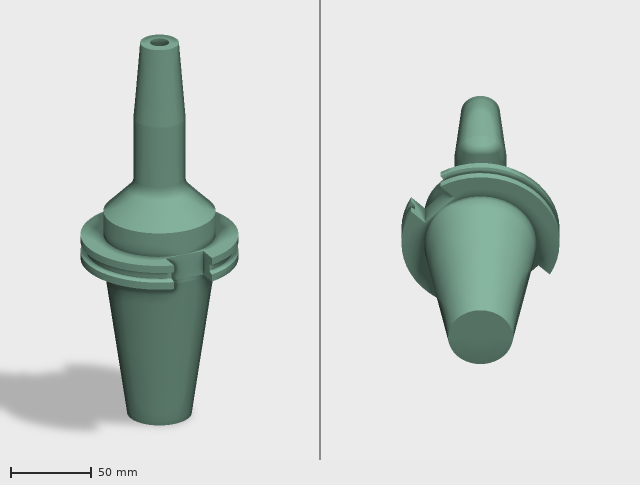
import cadquery as cq
import math

total_height = 251.5
shank_top = 102.5
flange_bottom = 105.2
flange_top = 121.3
body_top = 137.0
nose_bottom = 200.8

shank_end_diameter = 40.3
body_diameter = 70.0
flange_diameter = 98.5
groove_diameter = 91.5
neck_diameter = 32.5
nose_end_diameter = 24.2

shoulder_angle = math.radians(45)
neck_fillet_radius = 9.3

groove_floor_width = 4.3
groove_mouth_width = 6.5

slot_width = 26.2
left_slot_floor = 37.5
right_slot_floor = 35.2

bore_diameter = 11.8
bore_depth = 50.3
slot_hole_diameter = 10.0
slot_hole_depth = 5.0

flange_middle = (flange_bottom + flange_top) / 2
flange_height = flange_top - flange_bottom


def make_revolved_body():
    """Shank, grooved flange, shoulder, neck and nose as one turned body."""
    body_radius = body_diameter / 2
    flange_radius = flange_diameter / 2
    groove_radius = groove_diameter / 2
    neck_radius = neck_diameter / 2
    cone_top_radius = neck_radius + neck_fillet_radius * (1 - math.cos(shoulder_angle))
    cone_top = body_top + (body_radius - cone_top_radius) * math.tan(shoulder_angle)
    fillet_top = cone_top + neck_fillet_radius * math.sin(shoulder_angle)
    profile = (
        cq.Workplane("XZ")
        .lineTo(shank_end_diameter / 2, 0)
        .lineTo(body_radius, shank_top)
        .lineTo(body_radius, flange_bottom)
        .lineTo(flange_radius, flange_bottom)
        .lineTo(flange_radius, flange_middle - groove_mouth_width / 2)
        .lineTo(groove_radius, flange_middle - groove_floor_width / 2)
        .lineTo(groove_radius, flange_middle + groove_floor_width / 2)
        .lineTo(flange_radius, flange_middle + groove_mouth_width / 2)
        .lineTo(flange_radius, flange_top)
        .lineTo(body_radius, flange_top)
        .lineTo(body_radius, body_top)
        .lineTo(cone_top_radius, cone_top)
        .tangentArcPoint((neck_radius, fillet_top), relative=False)
        .lineTo(neck_radius, nose_bottom)
        .lineTo(nose_end_diameter / 2, total_height)
        .lineTo(0, total_height)
        .close()
    )
    return profile.revolve(360, (0, 0, 0), (0, 1, 0))


def make_drive_slot(side, floor_distance):
    """Block cutting the flange on the -X (side=-1) or +X (side=1) side."""
    slot_length = flange_diameter / 2
    center_x = side * (floor_distance + slot_length / 2)
    return cq.Workplane("XY").box(slot_length, slot_width, flange_height).translate(
        (center_x, 0, flange_middle)
    )


def make_slot_hole():
    """Round blind hole in the floor of the -X slot."""
    return (
        cq.Workplane("YZ", origin=(-left_slot_floor, 0, flange_middle))
        .circle(slot_hole_diameter / 2)
        .extrude(slot_hole_depth)
    )


def make_bore():
    """Blind bore entering the nose end."""
    return (
        cq.Workplane("XY", origin=(0, 0, total_height - bore_depth))
        .circle(bore_diameter / 2)
        .extrude(bore_depth)
    )


result = (
    make_revolved_body()
    .cut(make_drive_slot(-1, left_slot_floor))
    .cut(make_drive_slot(1, right_slot_floor))
    .cut(make_slot_hole())
    .cut(make_bore())
)